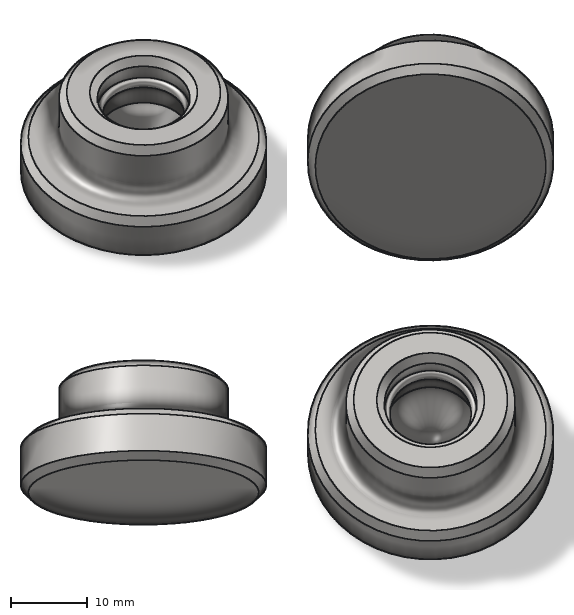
import cadquery as cq
import math

flange_radius = 16.0
flange_height = 7.0
neck_radius = 11.0
total_height = 15.0
edge_chamfer = 1.0
root_fillet = 2.0

bore_radius = 6.0
bore_floor_z = 7.52
drill_point_angle = 118.0
drill_point_depth = bore_radius / math.tan(math.radians(drill_point_angle / 2))

bead_projection = 0.75
bead_center_z = 11.25


def make_body():
    """Chamfered flange and neck, joined by a fillet at the neck root."""
    fillet_center_r = neck_radius + root_fillet
    fillet_center_z = flange_height + root_fillet
    arc_reach = root_fillet * math.sqrt(0.5)
    profile = (
        cq.Workplane("XZ")
        .lineTo(flange_radius - edge_chamfer, 0)
        .lineTo(flange_radius, edge_chamfer)
        .lineTo(flange_radius, flange_height - edge_chamfer)
        .lineTo(flange_radius - edge_chamfer, flange_height)
        .lineTo(fillet_center_r, flange_height)
        .threePointArc(
            (fillet_center_r - arc_reach, fillet_center_z - arc_reach),
            (neck_radius, fillet_center_z),
        )
        .lineTo(neck_radius, total_height - edge_chamfer)
        .lineTo(neck_radius - edge_chamfer, total_height)
        .lineTo(0, total_height)
        .close()
    )
    return profile.revolve(360, (0, 0), (0, 1))


def make_bore():
    """Bore volume with a chamfered mouth, a bead recess and a conical floor."""
    bead_reach = bead_projection * math.sqrt(0.5)
    profile = (
        cq.Workplane("XZ")
        .moveTo(0, bore_floor_z - drill_point_depth)
        .lineTo(bore_radius, bore_floor_z)
        .lineTo(bore_radius, bead_center_z - bead_projection)
        .threePointArc(
            (bore_radius - bead_reach, bead_center_z - bead_reach),
            (bore_radius - bead_projection, bead_center_z),
        )
        .threePointArc(
            (bore_radius - bead_reach, bead_center_z + bead_reach),
            (bore_radius, bead_center_z + bead_projection),
        )
        .lineTo(bore_radius, total_height - edge_chamfer)
        .lineTo(bore_radius + edge_chamfer, total_height)
        .lineTo(0, total_height)
        .close()
    )
    return profile.revolve(360, (0, 0), (0, 1))


result = make_body().cut(make_bore())